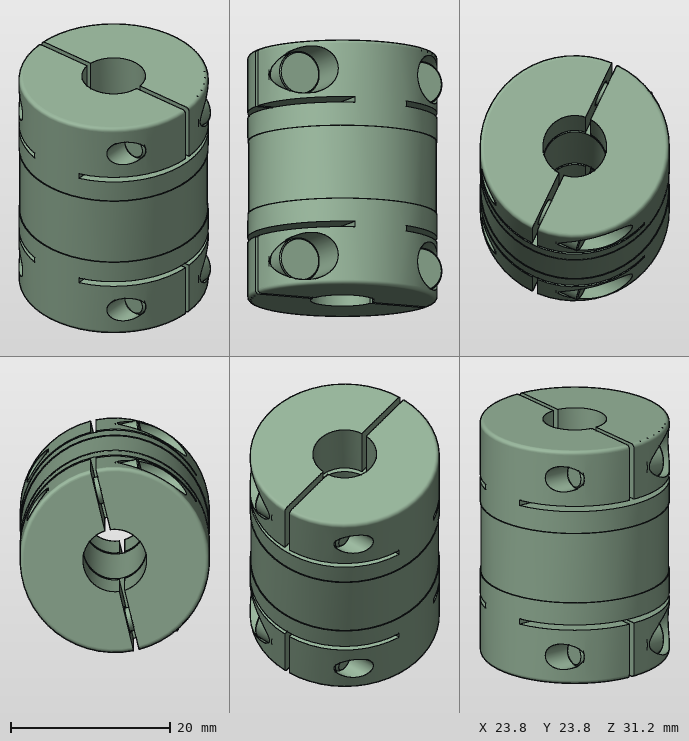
import cadquery as cq

outer_radius = 11.9
length = 31.2
bore_radius = 4.0
end_fillet = 0.5

sleeve_radius = 11.8
sleeve_length = 9.3

clamp_height = 7.3
slit_height = 0.7
web_half_width = 3.57
slit_bore_radius = 5.0

clamp_gap = 0.7

screw_x = 8.5
screw_depth_from_end = 3.7
counterbore_radius = 3.0
head_radius = 2.75
head_height = 2.85
head_seat_y = 2.75
head_chamfer = 0.15
hole_radius = 1.7
tip_y = -6.5
tip_chamfer = 0.3
left_screw_radius = 1.5
right_screw_radius = hole_radius

half_length = length / 2
slit_top_z = half_length - clamp_height
slit_bottom_z = slit_top_z - slit_height
hub_start_z = sleeve_length / 2
screw_z = half_length - screw_depth_from_end


def cylinder_z(radius, z_start, height):
    return cq.Workplane("XY").workplane(offset=z_start).circle(radius).extrude(height)


def cylinder_y(radius, x, y_start, y_end):
    """Cylinder parallel to Y at the height of the upper clamp screws."""
    rod = cq.Workplane("XZ", origin=(x, y_start, screw_z)).circle(radius)
    return rod.extrude(y_start - y_end)


def make_hub():
    """Plain upper hub, from the end of the sleeve to the end of the coupling."""
    hub = cylinder_z(outer_radius, hub_start_z, half_length - hub_start_z)
    return hub.faces(">Z").edges().fillet(end_fillet)


def make_slit():
    """Flat slit that leaves two webs outside the slit bore."""
    disc = cylinder_z(2 * outer_radius, slit_bottom_z, slit_height)
    webs = cq.Workplane("XY").workplane(offset=slit_bottom_z)
    webs = webs.rect(2 * web_half_width, 2 * outer_radius).extrude(slit_height)
    webs = webs.cut(cylinder_z(slit_bore_radius, slit_bottom_z, slit_height))
    return disc.cut(webs)


def make_clamp_gap():
    gap = cq.Workplane("XY").workplane(offset=slit_bottom_z)
    return gap.rect(2 * outer_radius, clamp_gap).extrude(clamp_height + slit_height)


def make_screw_hole(x):
    """Through hole with a counterbore on the +Y side."""
    hole = cylinder_y(hole_radius, x, -outer_radius, outer_radius)
    return hole.union(cylinder_y(counterbore_radius, x, head_seat_y, outer_radius))


def make_screw(x, radius):
    shank = cylinder_y(radius, x, tip_y, head_seat_y)
    shank = shank.faces("<Y").edges().chamfer(tip_chamfer)
    head = cylinder_y(head_radius, x, head_seat_y, head_seat_y + head_height)
    head = head.faces(">Y").edges().chamfer(head_chamfer)
    return shank.union(head)


def make_clamp_hub():
    """Upper hub with its bore, slit, clamp gap and two clamp screws."""
    hub = make_hub().cut(cylinder_z(bore_radius, hub_start_z, half_length - hub_start_z))
    hub = hub.cut(make_slit()).cut(make_clamp_gap())
    for x, radius in ((-screw_x, left_screw_radius), (screw_x, right_screw_radius)):
        hub = hub.cut(make_screw_hole(x)).union(make_screw(x, radius))
    return hub


def make_sleeve():
    sleeve = cylinder_z(sleeve_radius, -hub_start_z, sleeve_length)
    return sleeve.cut(cylinder_z(bore_radius, -hub_start_z, sleeve_length))


upper_hub = make_clamp_hub()
lower_hub = upper_hub.mirror("XY")
result = make_sleeve().union(upper_hub).union(lower_hub)